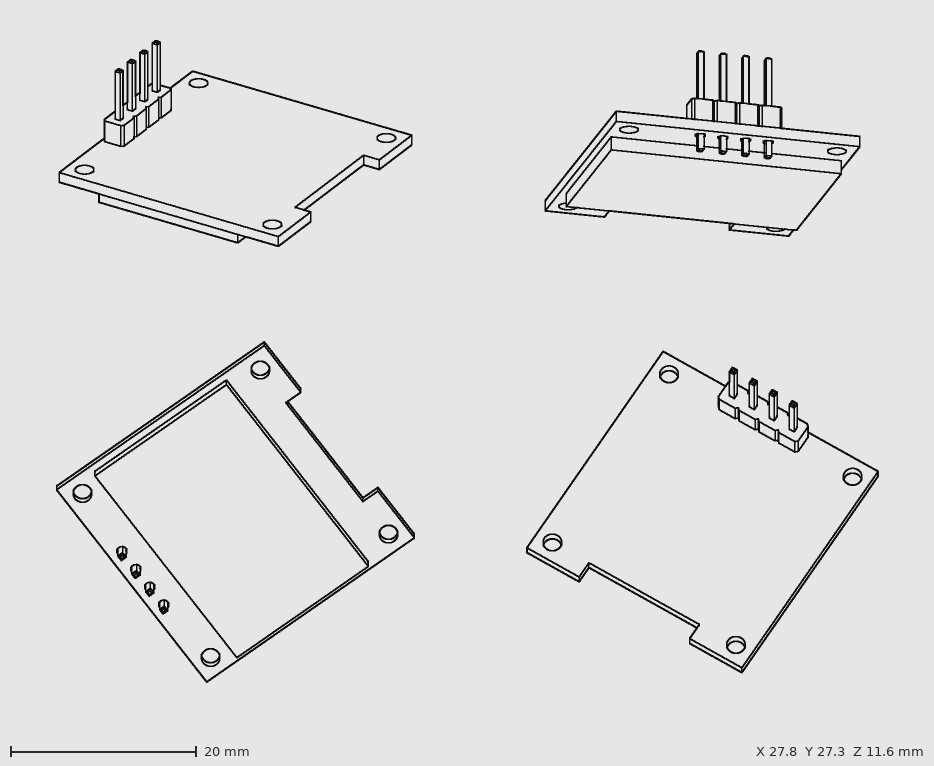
import cadquery as cq

BOARD_X = 27.8
BOARD_Y = 27.3
BOARD_THICKNESS = 1.2
MOUNT_HOLE_DIAMETER = 2.0
MOUNT_HOLE_INSET = 2.0
NOTCH_DEPTH = 2.0
NOTCH_LENGTH = 14.0
PIN_HOLE_DIAMETER = 1.08

DISPLAY_X = 17.6
DISPLAY_Y = 25.8
DISPLAY_THICKNESS = 1.5
DISPLAY_INSET = 4.6

PIN_COUNT = 4
PITCH = 2.53
BLOCK_CHAMFER = 0.25
PIN_WIDTH = 0.65
PIN_CHAMFER = 0.17
PIN_LENGTH = 11.55
PIN_BELOW_BLOCK = 3.03
HEADER_INSET = 1.5

BOARD_LEFT = -BOARD_X / 2
BOARD_RIGHT = BOARD_X / 2
HEADER_X = BOARD_LEFT + HEADER_INSET
DISPLAY_CENTRE_X = BOARD_LEFT + DISPLAY_INSET + DISPLAY_X / 2
PIN_BOTTOM = BOARD_THICKNESS - PIN_BELOW_BLOCK
PIN_POSITIONS = [
    (HEADER_X, (i - (PIN_COUNT - 1) / 2) * PITCH) for i in range(PIN_COUNT)
]


def standing_box(size_x, size_y, height, centre, bottom):
    """Box centred on an XY point, rising from the given Z level."""
    return (
        cq.Workplane("XY", origin=(*centre, bottom))
        .box(size_x, size_y, height, centered=(True, True, False))
    )


def make_board():
    """Plate with corner mounting holes, an edge notch and holes for the pins."""
    plate = standing_box(BOARD_X, BOARD_Y, BOARD_THICKNESS, (0, 0), 0)
    notch = standing_box(2 * NOTCH_DEPTH, NOTCH_LENGTH, BOARD_THICKNESS, (BOARD_RIGHT, 0), 0)
    mount_holes = (
        cq.Workplane("XY")
        .rect(BOARD_X - 2 * MOUNT_HOLE_INSET, BOARD_Y - 2 * MOUNT_HOLE_INSET, forConstruction=True)
        .vertices()
        .circle(MOUNT_HOLE_DIAMETER / 2)
        .extrude(BOARD_THICKNESS)
    )
    pin_holes = (
        cq.Workplane("XY")
        .pushPoints(PIN_POSITIONS)
        .circle(PIN_HOLE_DIAMETER / 2)
        .extrude(BOARD_THICKNESS)
    )
    return plate.cut(notch).cut(mount_holes).cut(pin_holes)


def make_display():
    """Plain panel against the underside of the board."""
    return standing_box(
        DISPLAY_X, DISPLAY_Y, DISPLAY_THICKNESS, (DISPLAY_CENTRE_X, 0), -DISPLAY_THICKNESS
    )


def make_header_block(position):
    """One square cell of the header, with chamfered upright edges."""
    cell = standing_box(PITCH, PITCH, PITCH, position, BOARD_THICKNESS)
    return cell.edges("|Z").chamfer(BLOCK_CHAMFER)


def make_pin(position):
    """Square pin with chamfered tips."""
    pin = standing_box(PIN_WIDTH, PIN_WIDTH, PIN_LENGTH, position, PIN_BOTTOM)
    return pin.faces("<Z or >Z").chamfer(PIN_CHAMFER)


def make_header():
    """Row of joined cells, each with its moulded-in pin, as one solid."""
    header = cq.Workplane("XY")
    for position in PIN_POSITIONS:
        header = header.add(make_header_block(position)).add(make_pin(position))
    return header.combine()


board = make_board().solids()
display = make_display()
header = make_header().solids()

result = cq.Compound.makeCompound([board.val(), display.val(), header.val()])